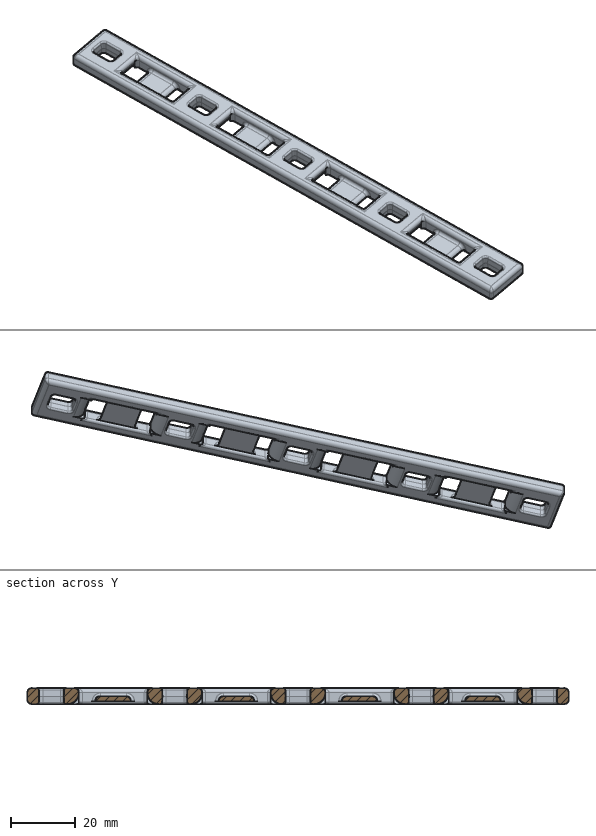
import cadquery as cq

LENGTH = 167.5
WIDTH = 15.9
THICKNESS = 5.0
EDGE_RADIUS = 1.42
CORNER_RADIUS = 1.59 / 2

SLOT_COUNT = 5
SLOT_SPAN = 152.4
PITCH = SLOT_SPAN / (SLOT_COUNT - 1)
WINDOW_COUNT = SLOT_COUNT - 1

SLOT_LENGTH = 7.5
SLOT_WIDTH = 5.4
SLOT_DRAFT = 3.0
SLOT_CORNER_RADIUS = 1.0
SLOT_EDGE_RADIUS = 0.59

WINDOW_LENGTH = 21.1
WINDOW_WIDTH = 8.2
WINDOW_CORNER_RADIUS = 1.0
WINDOW_TOP_RADIUS = 1.3
WINDOW_BOTTOM_RADIUS = 0.8
WINDOW_END_RADIUS = 3.5

BRIDGE_LENGTH = 11.0
BRIDGE_TOP = 0.0
BRIDGE_THICKNESS = 1.59
BRIDGE_EDGE_RADIUS = 1.5
BRIDGE_ROOT_RADIUS = 1.0

SELECTION_MARGIN = 0.3


def row(count):
    """Centres of evenly pitched features along the middle of the bar."""
    return [((i - (count - 1) / 2) * PITCH, 0) for i in range(count)]


def blocks(centres, length, width, height, z=0):
    """Equal boxes centred on the given points at height z."""
    return cq.Workplane("XY", origin=(0, 0, z)).pushPoints(centres).box(length, width, height)


def box_selector(x, y, z, length, width, height):
    """Selects edges whose centre lies inside a box of the given centre and size."""
    return cq.selectors.BoxSelector(
        (x - length / 2, y - width / 2, z - height / 2),
        (x + length / 2, y + width / 2, z + height / 2),
    )


def rounded_bar():
    bar = blocks([(0, 0)], LENGTH, WIDTH, THICKNESS)
    bar = bar.faces("<Z or >Z").edges().fillet(EDGE_RADIUS)
    return bar.edges("|Z").fillet(CORNER_RADIUS)


def cut_windows(bar):
    bar = bar.cut(blocks(row(WINDOW_COUNT), WINDOW_LENGTH, WINDOW_WIDTH, THICKNESS))
    for x, y in row(WINDOW_COUNT):
        size = (WINDOW_LENGTH + SELECTION_MARGIN, WINDOW_WIDTH + SELECTION_MARGIN)
        around = box_selector(x, y, 0, *size, THICKNESS + SELECTION_MARGIN)
        bar = bar.faces(">Z").edges(around).fillet(WINDOW_TOP_RADIUS)
        bar = bar.faces("<Z").edges(around).fillet(WINDOW_BOTTOM_RADIUS)
        bar = bar.edges("|Z").edges(around).fillet(WINDOW_CORNER_RADIUS)
    return bar


def add_bridges(bar):
    z = BRIDGE_TOP - BRIDGE_THICKNESS / 2
    width = WINDOW_WIDTH + SELECTION_MARGIN
    bridges = blocks(row(WINDOW_COUNT), BRIDGE_LENGTH, width, BRIDGE_THICKNESS, z)
    bridges = bridges.edges("|Y and >Z").fillet(BRIDGE_EDGE_RADIUS)
    bar = bar.union(bridges)
    for x, _ in row(WINDOW_COUNT):
        for y in (-WINDOW_WIDTH / 2, WINDOW_WIDTH / 2):
            size = (BRIDGE_LENGTH + SELECTION_MARGIN, SELECTION_MARGIN, SELECTION_MARGIN)
            top_root = box_selector(x, y, BRIDGE_TOP, *size)
            bar = bar.edges(top_root).fillet(BRIDGE_ROOT_RADIUS)
    return bar


def relieve_window_ends(bar):
    """Rounds the underside of both ends of every window."""
    bottom = -THICKNESS / 2
    end = WINDOW_LENGTH / 2
    relief = (
        cq.Workplane("XZ")
        .moveTo(end, bottom)
        .lineTo(end, bottom + WINDOW_END_RADIUS)
        .radiusArc((end + WINDOW_END_RADIUS, bottom), -WINDOW_END_RADIUS)
        .close()
        .extrude(WINDOW_WIDTH / 2, both=True)
    )
    relief = relief.union(relief.mirror("YZ"))
    for x, y in row(WINDOW_COUNT):
        bar = bar.cut(relief.translate((x, y, 0)))
    return bar


def cut_slots(bar):
    outline = cq.Sketch().rect(SLOT_LENGTH, SLOT_WIDTH).vertices().fillet(SLOT_CORNER_RADIUS)
    half_slot = cq.Workplane("XY").placeSketch(outline).extrude(THICKNESS / 2, taper=-SLOT_DRAFT)
    slot = half_slot.union(half_slot.mirror("XY"))
    for x, y in row(SLOT_COUNT):
        bar = bar.cut(slot.translate((x, y, 0)))
        size = (SLOT_LENGTH + 2 * SELECTION_MARGIN, SLOT_WIDTH + 2 * SELECTION_MARGIN)
        around = box_selector(x, y, 0, *size, THICKNESS + SELECTION_MARGIN)
        bar = bar.faces("<Z or >Z").edges(around).fillet(SLOT_EDGE_RADIUS)
    return bar


result = cut_slots(relieve_window_ends(add_bridges(cut_windows(rounded_bar()))))